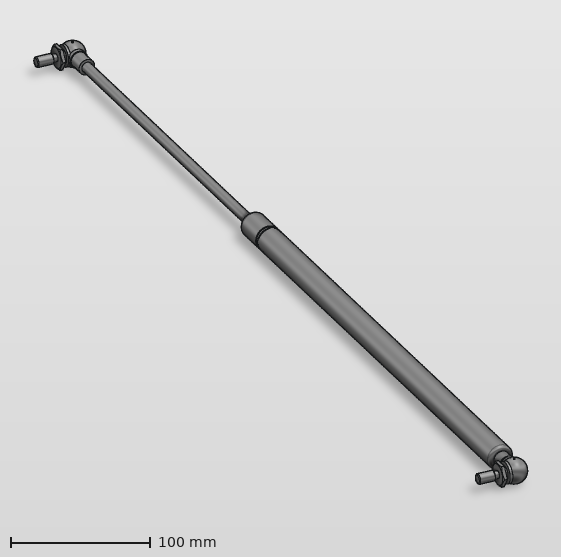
import cadquery as cq
import math

total_length = 726.0
head_diameter = 19.5
head_radius = head_diameter / 2
ball_center_x = total_length / 2 - head_radius

tube_diameter = 19.5
tube_start_x = -66.0
tube_end_x = 333.0
tube_edge_radius = 3.0
groove_x = -39.0
groove_width = 3.0
groove_depth = 1.0
rod_diameter = 8.0
rod_start_x = -330.0

neck_diameter = 12.0
collar_diameter = 14.0
collar_reach = 10.0
socket_face_y = -7.0
skirt_diameter = 17.0
mouth_diameter = 10.0
dimple_diameter = 1.15
dimple_depth = 1.0

ball_diameter = 12.0
shank_diameter = 8.0
hex_across_flats = 17.0
hex_across_corners = hex_across_flats / math.cos(math.pi / 6)
hex_top_y = -10.0
hex_bottom_y = -13.0
hex_chamfer_diameter = 16.0
hex_chamfer_height = 1.0
relief_diameter = 6.0
thread_start_y = -17.0
stud_tip_y = -29.4
tip_chamfer = 1.0


def rod_along_x(diameter, start_x, end_x):
    """Cylinder on the X axis between two X positions."""
    return cq.Workplane("YZ", origin=(start_x, 0, 0)).circle(diameter / 2).extrude(end_x - start_x)


def rod_along_y(diameter, top_y, bottom_y):
    """Cylinder on the Y axis, from its upper Y position down to its lower one."""
    return cq.Workplane("XZ", origin=(0, top_y, 0)).circle(diameter / 2).extrude(top_y - bottom_y)


def make_gas_spring():
    """Tube with rounded ends and a crimped groove, and the rod leaving its -X end."""
    tube = rod_along_x(tube_diameter, tube_start_x, tube_end_x)
    tube = tube.faces("<X or >X").edges().fillet(tube_edge_radius)
    groove_start = groove_x - groove_width / 2
    groove_end = groove_x + groove_width / 2
    groove = rod_along_x(tube_diameter, groove_start, groove_end).cut(
        rod_along_x(tube_diameter - 2 * groove_depth, groove_start, groove_end)
    )
    rod = rod_along_x(rod_diameter, rod_start_x, tube_start_x)
    return tube.cut(groove).union(rod)


def revolved_ball(ball_radius, stem_radius, stem_end_y):
    """Ball centred on the origin with a plain round stem running out of it to -Y."""
    stem_top_y = -math.sqrt(ball_radius ** 2 - stem_radius ** 2)
    return (
        cq.Workplane("XY")
        .moveTo(0, ball_radius)
        .threePointArc((ball_radius, 0), (stem_radius, stem_top_y))
        .lineTo(stem_radius, stem_end_y)
        .lineTo(0, stem_end_y)
        .close()
        .revolve(360, (0, 0, 0), (0, 1, 0))
    )


def make_socket(neck_length):
    """Ball socket centred on the origin, with its neck along +X and its mouth at -Y."""
    head = revolved_ball(head_radius, skirt_diameter / 2, socket_face_y)
    collar = rod_along_x(collar_diameter, 0, collar_reach)
    neck = rod_along_x(neck_diameter, 0, neck_length)
    cavity = revolved_ball(ball_diameter / 2, mouth_diameter / 2, socket_face_y)
    dimple = (
        cq.Workplane("XY", origin=(0, 0, head_radius - dimple_depth))
        .circle(dimple_diameter / 2)
        .extrude(dimple_depth)
    )
    return head.union(collar).union(neck).cut(cavity).cut(dimple)


def make_hex():
    """Hexagonal flange with corners along X and its lower corners chamfered."""
    height = hex_top_y - hex_bottom_y
    prism = cq.Workplane("XZ", origin=(0, hex_top_y, 0)).polygon(6, hex_across_corners).extrude(height)
    chamfer_start_y = hex_bottom_y + hex_chamfer_height
    envelope = (
        cq.Workplane("XY")
        .moveTo(0, hex_top_y)
        .lineTo(hex_across_corners / 2, hex_top_y)
        .lineTo(hex_across_corners / 2, chamfer_start_y)
        .lineTo(hex_chamfer_diameter / 2, hex_bottom_y)
        .lineTo(0, hex_bottom_y)
        .close()
        .revolve(360, (0, 0, 0), (0, 1, 0))
    )
    return prism.intersect(envelope)


def make_stud():
    """Ball stud centred on the origin: ball, shank, hex flange, relief and thread."""
    ball = revolved_ball(ball_diameter / 2, shank_diameter / 2, hex_top_y)
    relief = rod_along_y(relief_diameter, hex_bottom_y, thread_start_y)
    thread = rod_along_y(shank_diameter, thread_start_y, stud_tip_y)
    thread = thread.faces("<Y").chamfer(tip_chamfer)
    return ball.union(make_hex()).union(relief).union(thread)


gas_spring = make_gas_spring()

rod_socket = make_socket(rod_start_x + ball_center_x).translate((-ball_center_x, 0, 0))
tube_socket = make_socket(ball_center_x - tube_end_x).mirror("YZ").translate((ball_center_x, 0, 0))

studs = []
for stud_x in (-ball_center_x, ball_center_x):
    studs.append(make_stud().translate((stud_x, 0, 0)).val())

result = cq.Compound.makeCompound([gas_spring.val(), rod_socket.val(), tube_socket.val(), *studs])